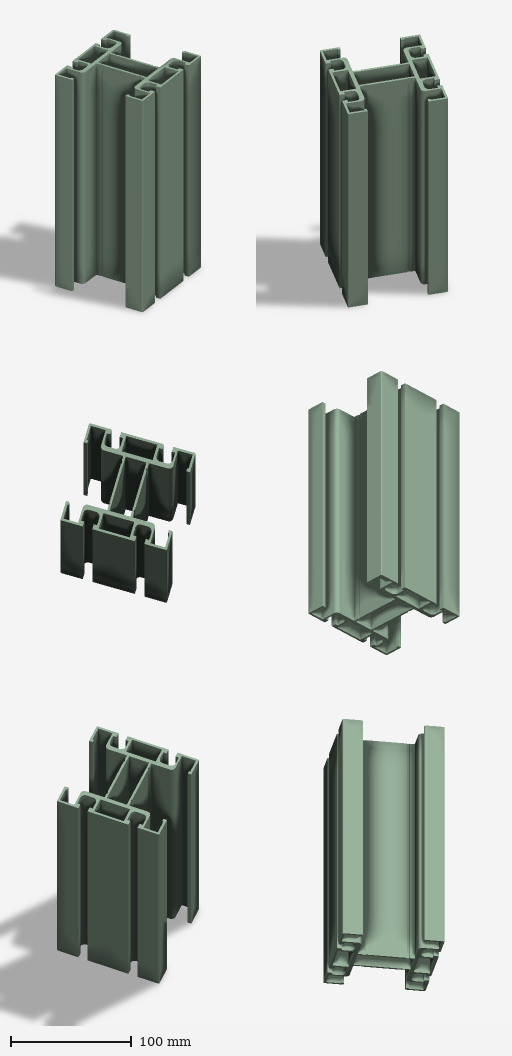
import cadquery as cq

width = 86.0
depth = 92.0
length = 200.0
half_width = width / 2
half_depth = depth / 2

wall = 2.0

column_inner_x = 24.0
column_half_depth = 31.2
column_corner_radius = 3.5

mouth_inner_y = 18.5
mouth_outer_y = 26.5
slot_center_y = (mouth_inner_y + mouth_outer_y) / 2
slot_height = 14.0
slot_back_x = 28.0
slot_lip_thickness = 4.5
slot_corner_radius = 4.0
slot_front_x = half_width - slot_lip_thickness

chamber_inner_x = 27.5
chamber_half_depth = 13.5

flange_end_x = 26.0
hook_width = 2.5
hook_height = 3.2
outer_corner_radius = 1.0

web_outer_y = 11.0
groove_center_x = 18.5
groove_width = 2.0
groove_depth = 0.5


def bar(x_min, x_max, y_min, y_max):
    """Full-length bar with a rectangular section, centred along Z."""
    blank = cq.Workplane("XY").box(x_max - x_min, y_max - y_min, length)
    return blank.translate(((x_min + x_max) / 2, (y_min + y_max) / 2, 0))


def make_slot():
    """Cutter for the +X +Y slot: a round-cornered cavity and its mouth."""
    slot_bottom_y = slot_center_y - slot_height / 2
    slot_top_y = slot_center_y + slot_height / 2
    cavity = bar(slot_back_x, slot_front_x, slot_bottom_y, slot_top_y)
    cavity = cavity.edges("|Z and <X").fillet(slot_corner_radius)
    mouth = bar(slot_front_x, half_width, mouth_inner_y, mouth_outer_y)
    return cavity.union(mouth)


def make_column():
    """Column on the +X side with its chamber and both slots."""
    column = bar(column_inner_x, half_width, -column_half_depth, column_half_depth)
    column = column.edges("|Z and <X").fillet(column_corner_radius)
    chamber = bar(chamber_inner_x, half_width - wall, -chamber_half_depth, chamber_half_depth)
    slot = make_slot()
    return column.cut(chamber).cut(slot).cut(slot.mirror("XZ"))


def make_corner_flange():
    """L-shaped flange with a hooked end, at the +X +Y corner."""
    upright = bar(half_width - wall, half_width, mouth_outer_y, half_depth)
    top = bar(flange_end_x, half_width, half_depth - wall, half_depth)
    hook = bar(flange_end_x, flange_end_x + hook_width, half_depth - hook_height, half_depth)
    flange = upright.union(top)
    flange = flange.edges("|Z and >X and >Y").fillet(outer_corner_radius)
    return flange.union(hook)


def make_web():
    """Web on the +Y side, grooved on its outer face."""
    web = bar(-column_inner_x, column_inner_x, web_outer_y - wall, web_outer_y)
    groove_left_x = groove_center_x - groove_width / 2
    groove_right_x = groove_center_x + groove_width / 2
    groove = bar(groove_left_x, groove_right_x, web_outer_y - groove_depth, web_outer_y)
    return web.cut(groove).cut(groove.mirror("YZ"))


flange = make_corner_flange()
right_side = make_column().union(flange).union(flange.mirror("XZ"))
web = make_web()

result = right_side.union(right_side.mirror("YZ")).union(web).union(web.mirror("XZ"))